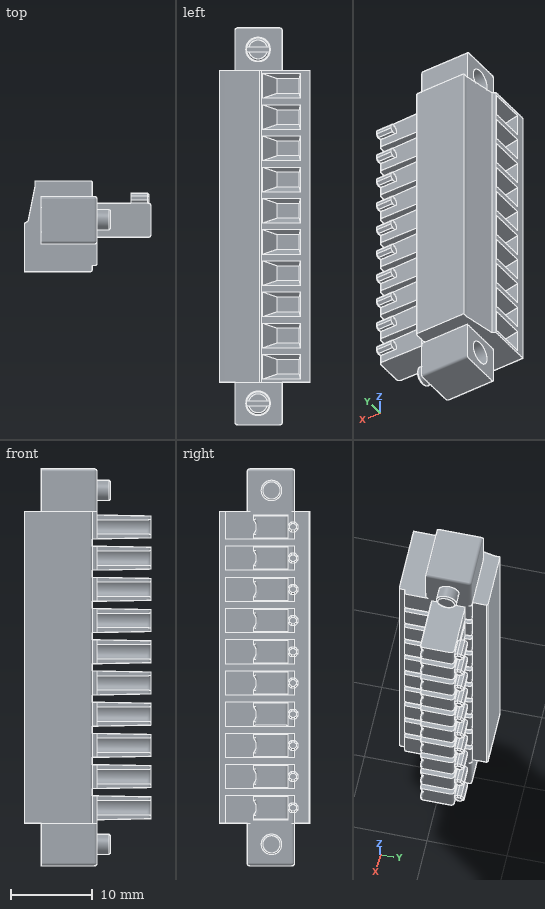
import cadquery as cq
import math

POLE_COUNT = 10
POLE_PITCH = 3.81
BODY_HEIGHT = POLE_COUNT * POLE_PITCH
TOTAL_HEIGHT = 48.5

BODY_WIDTH = 11.1
BODY_REAR_X = 8.33
STEP_X = 0.45
STEP_LOW_Y = 5.92
STEP_HIGH_Y = 6.2
SLOPE_END_X = 1.3
SLOPE_END_Y = 10.45
BODY_REAR_FILLET = 0.3
BODY_TOP_CHAMFER = 0.15

FLANGE_FRONT_X = 2.05
FLANGE_REAR_X = 8.9
FLANGE_LOW_Y = 3.4
FLANGE_HIGH_Y = 9.2
FLANGE_FILLET = 0.35
BLOCK_LOW_Y = 0.75
BLOCK_FILLET = 0.3

PLUG_TIP_X = 15.5
PLUG_LOW_Y = 4.2
PLUG_HIGH_Y = 8.4
PLUG_ROOT_HEIGHT = 2.95
PLUG_TIP_HEIGHT = 2.7
PLUG_TIP_FILLET = 0.4
GROOVE_DIAMETER = 2.8
GROOVE_WIDTH = 1.75

PEG_SIZE = 1.2
PEG_FRONT_X = 13.0
PEG_REAR_X = 15.25
PEG_TIP_CHAMFER = 0.2

POCKET_LOW_Y = 1.2
POCKET_HIGH_Y = 5.8
POCKET_HEIGHT = 3.0
POCKET_DEPTH = FLANGE_FRONT_X
POCKET_FLOOR_LOW_Y = 1.35
POCKET_FLOOR_HIGH_Y = 4.05
POCKET_FLOOR_HEIGHT = 1.8

SCREW_Y = 6.37
SCREW_EDGE_DISTANCE = 2.65
SCREW_DIAMETER = 2.5
SCREW_TIP_X = 10.55
SCREW_TIP_CHAMFER = 0.2
BORE_DIAMETER = 3.0
BORE_DEPTH = 5.0
HEAD_DIAMETER = 2.8
HEAD_LENGTH = 1.6
HEAD_CHAMFER = 0.25
SLOT_WIDTH = 0.6
SLOT_DEPTH = 0.7


def box(x_range, y_range, z_range):
    """Axis-aligned box from its limits along X, Y and Z."""
    lengths = [end - start for start, end in (x_range, y_range, z_range)]
    corner = (x_range[0], y_range[0], z_range[0])
    return cq.Workplane("XY").box(*lengths, centered=False).translate(corner)


def rod(diameter, start_x, end_x, y, z):
    """Round rod along X."""
    plane = cq.Workplane("YZ", origin=(start_x, y, z))
    return plane.circle(diameter / 2).extrude(end_x - start_x)


def pole_z(index):
    """Height of one pole, counted from the bottom."""
    return (index + 0.5 - POLE_COUNT / 2) * POLE_PITCH


def make_body():
    """Housing prism with a stepped, sloped front."""
    outline = [
        (0, 0),
        (BODY_REAR_X, 0),
        (BODY_REAR_X, BODY_WIDTH),
        (SLOPE_END_X, BODY_WIDTH),
        (SLOPE_END_X, SLOPE_END_Y),
        (STEP_X, STEP_HIGH_Y),
        (0, STEP_LOW_Y),
    ]
    bottom = cq.Workplane("XY").workplane(offset=-BODY_HEIGHT / 2)
    body = bottom.polyline(outline).close().extrude(BODY_HEIGHT)
    body = body.edges("|Z and >X and <Y").fillet(BODY_REAR_FILLET)
    return body.edges("|Z and >X and >Y").chamfer(BODY_TOP_CHAMFER)


def make_flange(side):
    """Screw flange at the top (side 1) or bottom (side -1) of the housing."""
    inner_z = side * BODY_HEIGHT / 2
    outer_z = side * TOTAL_HEIGHT / 2
    flange = box(
        (FLANGE_FRONT_X, FLANGE_REAR_X),
        (FLANGE_LOW_Y, FLANGE_HIGH_Y),
        (min(inner_z, outer_z), max(inner_z, outer_z)),
    )
    outer_face = ">Z" if side > 0 else "<Z"
    inner_face = "<Z" if side > 0 else ">Z"
    rounded = flange.faces(f"{outer_face} or >X").edges(f"(not {inner_face}) and (not <X)")
    return rounded.fillet(FLANGE_FILLET)


def make_block(index):
    """Guide block behind one pole; the outermost blocks reach the housing ends."""
    bottom = pole_z(index) - PLUG_ROOT_HEIGHT / 2
    top = pole_z(index) + PLUG_ROOT_HEIGHT / 2
    if index == 0:
        bottom = -BODY_HEIGHT / 2
    if index == POLE_COUNT - 1:
        top = BODY_HEIGHT / 2
    block = box((BODY_REAR_X, FLANGE_REAR_X), (BLOCK_LOW_Y, FLANGE_HIGH_Y), (bottom, top))
    return block.edges("|Z and >X").fillet(BLOCK_FILLET)


def make_plug(z):
    """Tapered plug with a hollow groove along its -Y side and a coding peg on its +Y side."""
    root = PLUG_ROOT_HEIGHT / 2
    tip = PLUG_TIP_HEIGHT / 2
    outline = [(FLANGE_REAR_X, -root), (PLUG_TIP_X, -tip), (PLUG_TIP_X, tip), (FLANGE_REAR_X, root)]
    side = cq.Workplane("XZ", origin=(0, PLUG_LOW_Y, z))
    plug = side.polyline(outline).close().extrude(PLUG_LOW_Y - PLUG_HIGH_Y)

    groove_radius = GROOVE_DIAMETER / 2
    groove_offset = math.sqrt(groove_radius**2 - (GROOVE_WIDTH / 2) ** 2)
    groove = rod(GROOVE_DIAMETER, FLANGE_REAR_X, PLUG_TIP_X, PLUG_LOW_Y - groove_offset, z)
    plug = plug.cut(groove)
    plug = plug.faces(">X").edges("not |Y").fillet(PLUG_TIP_FILLET)
    return plug.union(make_peg(z))


def make_peg(z):
    """Octagonal coding peg along X, resting on the +Y side of a plug."""
    corner_chamfer = PEG_SIZE / (2 + math.sqrt(2))
    peg = box(
        (PEG_FRONT_X, PEG_REAR_X),
        (PLUG_HIGH_Y, PLUG_HIGH_Y + PEG_SIZE),
        (z - PEG_SIZE / 2, z + PEG_SIZE / 2),
    )
    peg = peg.edges("|X").chamfer(corner_chamfer)
    return peg.faces(">X").chamfer(PEG_TIP_CHAMFER)


def make_pocket(z):
    """Wire-entry funnel narrowing from the front face to its floor."""
    opening_y = (POCKET_LOW_Y + POCKET_HIGH_Y) / 2
    floor_y = (POCKET_FLOOR_LOW_Y + POCKET_FLOOR_HIGH_Y) / 2
    return (
        cq.Workplane("YZ", origin=(0, opening_y, z))
        .rect(POCKET_HIGH_Y - POCKET_LOW_Y, POCKET_HEIGHT)
        .workplane(offset=POCKET_DEPTH)
        .center(floor_y - opening_y, 0)
        .rect(POCKET_FLOOR_HIGH_Y - POCKET_FLOOR_LOW_Y, POCKET_FLOOR_HEIGHT)
        .loft(ruled=True)
    )


def add_screw(part, z):
    """Bore the flange from the front and seat a slotted screw in it."""
    bore_floor_x = FLANGE_FRONT_X + BORE_DEPTH
    head_x = bore_floor_x - HEAD_LENGTH
    bore = rod(BORE_DIAMETER, FLANGE_FRONT_X, bore_floor_x, SCREW_Y, z)
    head = rod(HEAD_DIAMETER, head_x, bore_floor_x, SCREW_Y, z).faces("<X").chamfer(HEAD_CHAMFER)
    shank = rod(SCREW_DIAMETER, bore_floor_x, SCREW_TIP_X, SCREW_Y, z)
    shank = shank.faces(">X").chamfer(SCREW_TIP_CHAMFER)
    slot = box(
        (head_x, head_x + SLOT_DEPTH),
        (SCREW_Y - HEAD_DIAMETER / 2, SCREW_Y + HEAD_DIAMETER / 2),
        (z - SLOT_WIDTH / 2, z + SLOT_WIDTH / 2),
    )
    return part.cut(bore).union(head.cut(slot)).union(shank)


part = make_body().union(make_flange(1)).union(make_flange(-1))
for pole in range(POLE_COUNT):
    part = part.union(make_block(pole))
    part = part.union(make_plug(pole_z(pole)))
    part = part.cut(make_pocket(pole_z(pole)))

screw_z = TOTAL_HEIGHT / 2 - SCREW_EDGE_DISTANCE
for z in (-screw_z, screw_z):
    part = add_screw(part, z)

result = part